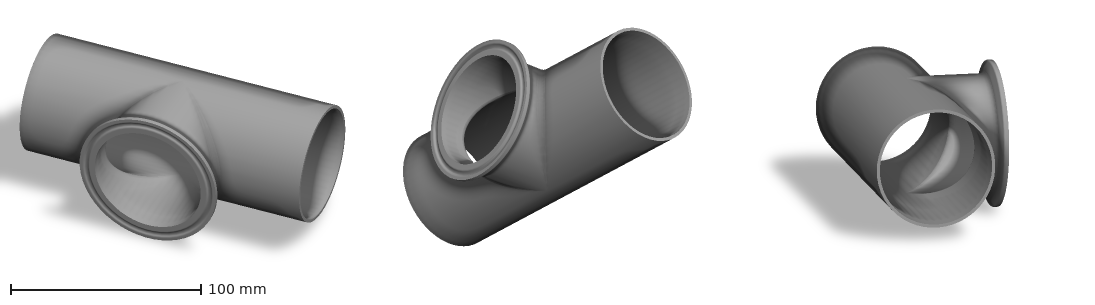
import cadquery as cq
import math

run_length = 158.8
tube_radius = 31.8
bore_radius = 60.2 / 2
crossing_fillet = 3.2

face_distance = 47.6
ferrule_length = 11.9
weld_distance = face_distance - ferrule_length

flange_radius = 77.5 / 2
cone_angle = 20.0
rim_thickness = 2.5
rim_edge_fillet = 1.0
neck_fillet = 2.0
cone_drop = (flange_radius - tube_radius) * math.tan(math.radians(cone_angle))
rim_back = face_distance - rim_thickness
cone_base = rim_back - cone_drop

groove_radius = 35.1
groove_half_width = 2.0
groove_bottom_radius = 1.5
groove_lip_radius = 1.1


def run_cylinder(radius):
    return cq.Workplane("YZ").circle(radius).extrude(run_length / 2, both=True)


def branch_cylinder(radius):
    return cq.Workplane("XZ").circle(radius).extrude(weld_distance)


def crossing(radius, fillet):
    """Run and branch cylinders of equal radius, blended along their crossing."""
    joined = run_cylinder(radius).union(branch_cylinder(radius))
    return joined.edges("%ELLIPSE").fillet(fillet)


def make_tee():
    return crossing(tube_radius, crossing_fillet).cut(crossing(bore_radius, crossing_fillet))


def revolve_about_branch(profile):
    return profile.close().revolve(360, (0, 0, 0), (0, 1, 0))


def make_groove():
    """Ring to cut from the ferrule face, with lip arcs tangent to the bottom arc."""
    turn = math.asin(groove_half_width / (groove_bottom_radius + groove_lip_radius))
    depth = (groove_bottom_radius + groove_lip_radius) * (1 - math.cos(turn))
    joint_offset = groove_bottom_radius * math.sin(turn)
    joint_y = -face_distance + groove_lip_radius * (1 - math.cos(turn))
    profile = (
        cq.Workplane("XY")
        .moveTo(groove_radius - groove_half_width, -face_distance)
        .radiusArc((groove_radius - joint_offset, joint_y), -groove_lip_radius)
        .threePointArc(
            (groove_radius, -face_distance + depth),
            (groove_radius + joint_offset, joint_y),
        )
        .radiusArc((groove_radius + groove_half_width, -face_distance), -groove_lip_radius)
    )
    return revolve_about_branch(profile)


def make_ferrule():
    profile = (
        cq.Workplane("XY")
        .moveTo(bore_radius, -weld_distance)
        .lineTo(tube_radius, -weld_distance)
        .lineTo(tube_radius, -cone_base)
        .lineTo(flange_radius, -rim_back)
        .lineTo(flange_radius, -face_distance)
        .lineTo(bore_radius, -face_distance)
    )
    body = revolve_about_branch(profile)
    body = body.faces("%CONE").edges(">Y").fillet(neck_fillet)
    body = body.faces("%CONE").edges("<Y").fillet(rim_edge_fillet)
    return body.cut(make_groove())


tee = make_tee()
ferrule = make_ferrule()
result = cq.Compound.makeCompound([tee.val(), ferrule.val()])